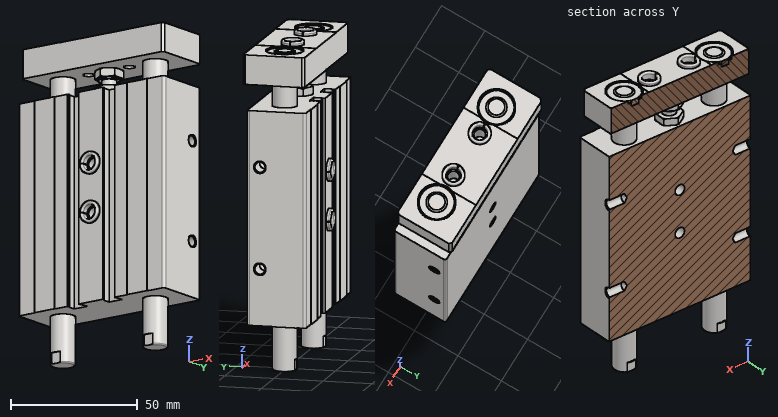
import cadquery as cq
import math

TOTAL_HEIGHT = 130.4
SLEEVE_STAND = 1.7
TOP_Z = TOTAL_HEIGHT - SLEEVE_STAND

PLATE_X = 70.0
PLATE_Y = 25.0
PLATE_Z = 12.0
PLATE_CHAMFER = 1.0
PLATE_FIELD_X = 31.8
PLATE_FIELD_DEPTH = 0.07
PLATE_BOTTOM_Z = TOP_Z - PLATE_Z

HOUSING_X = 72.0
HOUSING_Y = 24.3
HOUSING_Z = 86.7
HOUSING_FILLET = 1.0
HOUSING_FRONT_OFFSET = 1.0
HOUSING_FRONT_Y = -PLATE_Y / 2 - HOUSING_FRONT_OFFSET
HOUSING_MID_Y = HOUSING_FRONT_Y + HOUSING_Y / 2
HOUSING_BACK_Y = HOUSING_FRONT_Y + HOUSING_Y
OPENING = 10.2
HOUSING_TOP_Z = PLATE_BOTTOM_Z - OPENING
HOUSING_BOTTOM_Z = HOUSING_TOP_Z - HOUSING_Z

ROD_X = 22.8
ROD_DIAMETER = 10.0
ROD_END_FILLET = 0.5
ROD_FLAT_HEIGHT = 4.5
ROD_FLAT_WIDTH = 4.3
HEAD_DIAMETER = 14.0
HEAD_HEIGHT = 2.6
HEAD_RECESS_DIAMETER = 15.0
HEAD_RECESS_DEPTH = 1.3
TIP_HEIGHT = 0.4
HEAD_TOP_Z = TOP_Z - TIP_HEIGHT
TIP_DIAMETER = 8.3
TIP_TOP_DIAMETER = 6.7

SLOT_X = 8.6
SLOT_MOUTH = 5.3
SLOT_FLOOR = 6.3
SLOT_LIP = 1.0
SLOT_SHOULDER = 1.7
SLOT_DEPTH = 4.8
SLOT_EDGE_CHAMFER = 0.45
STRIP_X = 9.9
STRIP_HEIGHT = 0.3

SLEEVE_DIAMETER = 9.0
SLEEVE_BORE = 6.0
SLEEVE_SEAT_DEPTH = SLEEVE_STAND
SLEEVE_LENGTH = SLEEVE_STAND + SLEEVE_SEAT_DEPTH
SLEEVE_SLIT = 0.3
SCREW_HOLE = 4.5
SLEEVE_PITCH = 20.1
FRONT_SLEEVE_DROP = 30.0
UPPER_SLEEVE_Z = HOUSING_TOP_Z - FRONT_SLEEVE_DROP
FRONT_SLEEVE_ZS = [UPPER_SLEEVE_Z, UPPER_SLEEVE_Z - SLEEVE_PITCH]
TOP_SLEEVE_XS = [-SLEEVE_PITCH / 2, SLEEVE_PITCH / 2]

SIDE_HOLE = 4.2
SIDE_HOLE_MOUTH = 5.0
SIDE_HOLE_DEPTH = 7.8
SIDE_HOLE_CONE = 118
SIDE_HOLE_INSET = 5.3
SIDE_HOLE_Y = HOUSING_BACK_Y - SIDE_HOLE_INSET
SIDE_HOLE_DROPS = [22.7, 63.8]

PISTON_DIAMETER = 6.0
HEX_FLATS = 10.0
HEX_CHAMFER = 0.4
UPPER_HEX_Z = 3.4
COLLAR_DIAMETER = 8.9
COLLAR_HEIGHT = 0.7
LOWER_HEX_Z = 3.3


def cylinder(diameter, start, end):
    """A cylinder between two points."""
    axis = cq.Vector(*end) - cq.Vector(*start)
    solid = cq.Solid.makeCylinder(diameter / 2, axis.Length, cq.Vector(*start), axis)
    return cq.Workplane(obj=solid)


def box_between(low, high):
    """An axis-aligned box between two opposite corners."""
    size = [b - a for a, b in zip(low, high)]
    return cq.Workplane().box(*size, centered=False).translate(low)


def slot_cutter(side):
    """T-slot along Z, with a bevel on the mouth edge that faces the guide rod."""
    mouth, floor = SLOT_MOUTH / 2, SLOT_FLOOR / 2
    points = [
        (-mouth, 0),
        (-mouth, SLOT_LIP),
        (-floor, SLOT_SHOULDER),
        (-floor, SLOT_DEPTH),
        (floor, SLOT_DEPTH),
        (floor, SLOT_SHOULDER),
        (mouth, SLOT_LIP),
        (mouth, STRIP_HEIGHT + SLOT_EDGE_CHAMFER),
        (mouth + SLOT_EDGE_CHAMFER, STRIP_HEIGHT),
        (mouth + SLOT_EDGE_CHAMFER, 0),
    ]
    outline = [(side * (SLOT_X + x), HOUSING_FRONT_Y + y) for x, y in points]
    profile = cq.Workplane("XY", origin=(0, 0, HOUSING_BOTTOM_Z)).polyline(outline).close()
    return profile.extrude(HOUSING_Z)


def side_hole_cutter(side, z):
    """Blind hole with a countersunk mouth and a conical bottom, drilled from one side."""
    radius, mouth = SIDE_HOLE / 2, SIDE_HOLE_MOUTH / 2
    cone = radius / math.tan(math.radians(SIDE_HOLE_CONE / 2))
    outline = [
        (0, 0),
        (mouth, 0),
        (radius, mouth - radius),
        (radius, SIDE_HOLE_DEPTH),
        (0, SIDE_HOLE_DEPTH + cone),
    ]
    hole = cq.Workplane("XY").polyline(outline).close().revolve(360, (0, 0), (0, 1))
    hole = hole.rotate((0, 0, 0), (0, 0, 1), side * 90)
    return hole.translate((side * HOUSING_X / 2, SIDE_HOLE_Y, z))


def make_housing():
    """Extruded block with raised front strips, T-slots, guide bores and screw holes."""
    side_land_y = HOUSING_FRONT_Y + STRIP_HEIGHT
    body = box_between(
        (-HOUSING_X / 2, side_land_y, HOUSING_BOTTOM_Z),
        (HOUSING_X / 2, HOUSING_BACK_Y, HOUSING_TOP_Z),
    )
    body = body.edges("|Z").fillet(HOUSING_FILLET)

    raised = [(0, SLOT_X), (-ROD_X, STRIP_X / 2), (ROD_X, STRIP_X / 2)]
    for x, half in raised:
        body = body.union(
            box_between(
                (x - half, HOUSING_FRONT_Y, HOUSING_BOTTOM_Z),
                (x + half, HOUSING_MID_Y, HOUSING_TOP_Z),
            )
        )

    for side in (-1, 1):
        body = body.cut(slot_cutter(side))
        rod_low = (side * ROD_X, HOUSING_MID_Y, HOUSING_BOTTOM_Z)
        rod_high = (side * ROD_X, HOUSING_MID_Y, HOUSING_TOP_Z)
        body = body.cut(cylinder(ROD_DIAMETER, rod_low, rod_high))
        for drop in SIDE_HOLE_DROPS:
            body = body.cut(side_hole_cutter(side, HOUSING_TOP_Z - drop))

    for z in FRONT_SLEEVE_ZS:
        front = (0, HOUSING_FRONT_Y, z)
        body = body.cut(cylinder(SCREW_HOLE, front, (0, HOUSING_BACK_Y, z)))
        body = body.cut(cylinder(SLEEVE_DIAMETER, front, (0, HOUSING_FRONT_Y + SLEEVE_SEAT_DEPTH, z)))
    return body


def hexagon(bottom_z, height):
    """Hexagon with corners along Y and both ends chamfered by a cone."""
    corner_diameter = HEX_FLATS / math.cos(math.radians(30))
    base = cq.Workplane("XY", origin=(0, HOUSING_MID_Y, bottom_z))
    prism = base.polygon(6, corner_diameter).extrude(height)
    prism = prism.rotate((0, HOUSING_MID_Y, 0), (0, HOUSING_MID_Y, 1), 30)
    envelope = base.circle(corner_diameter / 2).extrude(height)
    envelope = envelope.faces("<Z or >Z").edges().chamfer(HEX_CHAMFER)
    return prism.intersect(envelope)


def make_plate():
    """Plate with seats for the rod heads and sleeves, in one piece with the piston rod."""
    body = box_between(
        (-PLATE_X / 2, -PLATE_Y / 2, PLATE_BOTTOM_Z),
        (PLATE_X / 2, PLATE_Y / 2, TOP_Z),
    )
    body = body.edges("|Z").chamfer(PLATE_CHAMFER)

    field_z = TOP_Z - PLATE_FIELD_DEPTH
    body = body.cut(
        box_between(
            (-PLATE_FIELD_X / 2, -PLATE_Y / 2, field_z),
            (PLATE_FIELD_X / 2, PLATE_Y / 2, TOP_Z),
        )
    )

    recess_z = TOP_Z - HEAD_RECESS_DEPTH
    head_bottom_z = HEAD_TOP_Z - HEAD_HEIGHT
    for side in (-1, 1):
        x, y = side * ROD_X, HOUSING_MID_Y
        body = body.cut(cylinder(HEAD_RECESS_DIAMETER, (x, y, recess_z), (x, y, TOP_Z)))
        body = body.cut(cylinder(HEAD_DIAMETER, (x, y, head_bottom_z), (x, y, TOP_Z)))
        body = body.cut(cylinder(ROD_DIAMETER, (x, y, PLATE_BOTTOM_Z), (x, y, head_bottom_z)))

    for x in TOP_SLEEVE_XS:
        y = HOUSING_MID_Y
        body = body.cut(cylinder(SCREW_HOLE, (x, y, PLATE_BOTTOM_Z), (x, y, TOP_Z)))
        body = body.cut(cylinder(SLEEVE_DIAMETER, (x, y, TOP_Z - SLEEVE_SEAT_DEPTH), (x, y, TOP_Z)))

    piston_low = (0, HOUSING_MID_Y, HOUSING_TOP_Z)
    body = body.union(cylinder(PISTON_DIAMETER, piston_low, (0, HOUSING_MID_Y, PLATE_BOTTOM_Z)))
    upper_hex_bottom = PLATE_BOTTOM_Z - UPPER_HEX_Z
    body = body.union(hexagon(upper_hex_bottom, UPPER_HEX_Z))
    collar_low = (0, HOUSING_MID_Y, upper_hex_bottom - COLLAR_HEIGHT)
    body = body.union(cylinder(COLLAR_DIAMETER, collar_low, (0, HOUSING_MID_Y, upper_hex_bottom)))
    return body.union(hexagon(HOUSING_TOP_Z, LOWER_HEX_Z))


def make_guide_rod(x):
    """Rod with a head sunk in the plate, a conical tip and two flats at its free end."""
    rod = cq.Workplane("XY").circle(ROD_DIAMETER / 2).extrude(HEAD_TOP_Z)
    rod = rod.faces("<Z").edges().fillet(ROD_END_FILLET)
    rod = rod.union(cylinder(HEAD_DIAMETER, (0, 0, HEAD_TOP_Z - HEAD_HEIGHT), (0, 0, HEAD_TOP_Z)))
    tip = cq.Solid.makeCone(
        TIP_DIAMETER / 2, TIP_TOP_DIAMETER / 2, TIP_HEIGHT, cq.Vector(0, 0, HEAD_TOP_Z)
    )
    rod = rod.union(cq.Workplane(obj=tip))

    flat_y = math.sqrt(ROD_DIAMETER**2 - ROD_FLAT_WIDTH**2) / 2
    for angle in (0, 180):
        waste = box_between((-ROD_DIAMETER, flat_y, 0), (ROD_DIAMETER, ROD_DIAMETER, ROD_FLAT_HEIGHT))
        rod = rod.cut(waste.rotate((0, 0, 0), (0, 0, 1), angle))
    return rod.translate((x, HOUSING_MID_Y, 0))


def make_sleeve():
    """Slit sleeve along Z with its seat at the origin and a fully rounded outer end."""
    outer, inner = SLEEVE_DIAMETER / 2, SLEEVE_BORE / 2
    round_start = SLEEVE_LENGTH - (outer - inner) / 2
    wall = (
        cq.Workplane("XZ")
        .moveTo(inner, 0)
        .lineTo(outer, 0)
        .lineTo(outer, round_start)
        .threePointArc(((outer + inner) / 2, SLEEVE_LENGTH), (inner, round_start))
        .close()
    )
    sleeve = wall.revolve(360, (0, 0), (0, 1)).rotate((0, 0, 0), (0, 0, 1), 180)
    slit = box_between(
        (-SLEEVE_DIAMETER, -SLEEVE_SLIT / 2, 0),
        (0, SLEEVE_SLIT / 2, SLEEVE_LENGTH),
    )
    return sleeve.cut(slit)


def make_top_sleeve(x):
    seat_z = TOP_Z - SLEEVE_SEAT_DEPTH
    return make_sleeve().translate((x, HOUSING_MID_Y, seat_z))


def make_front_sleeve(z):
    seat_y = HOUSING_FRONT_Y + SLEEVE_SEAT_DEPTH
    facing_front = make_sleeve().rotate((0, 0, 0), (1, 0, 0), 90)
    return facing_front.translate((0, seat_y, z))


housing = make_housing()
plate = make_plate()
guide_rods = [make_guide_rod(side * ROD_X) for side in (-1, 1)]
top_sleeves = [make_top_sleeve(x) for x in TOP_SLEEVE_XS]
front_sleeves = [make_front_sleeve(z) for z in FRONT_SLEEVE_ZS]

bodies = [housing, plate, *guide_rods, *top_sleeves, *front_sleeves]
result = cq.Compound.makeCompound([body.val() for body in bodies])